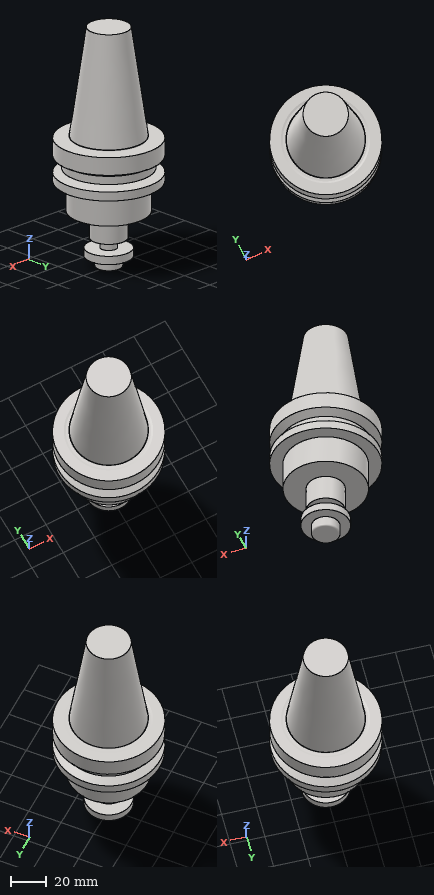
import cadquery as cq


gauge_diameter = 44.45
taper_length = 65.4
taper_ratio = 7 / 24
taper_small_diameter = gauge_diameter - taper_length * taper_ratio

neck_diameter = 43.85
neck_root_fillet = 0.5
neck_taper_length = 0.35

flange_diameter = 62.98
flange_top_z = -1.0
flange_bottom_z = -27.0
groove_diameter = 53.0
groove_center_z = -16.6
groove_mouth_width = 10.0
groove_floor_width = 4.9
groove_flank_height = (groove_mouth_width - groove_floor_width) / 2

recess_floor_diameter = 47.75
recess_rim_diameter = 50.0
recess_depth = 0.3

body_diameter = 48.0
body_length = 18.0
pilot_diameter = 22.0
pilot_length = 16.0
screw_shank_diameter = 10.0
screw_shank_length = 6.0
screw_collar_diameter = 28.0
screw_collar_length = 5.0
screw_tip_diameter = 16.0
screw_tip_length = 6.5
screw_tip_fillet = 1.0


def cylinder(diameter, top_z, length):
    """Cylinder on the Z axis that hangs down from top_z."""
    return cq.Workplane("XY").workplane(offset=top_z - length).circle(diameter / 2).extrude(length)


def revolve_profile(points):
    """Solid of revolution about Z from (diameter, z) points."""
    outline = [(diameter / 2, z) for diameter, z in points]
    return cq.Workplane("XZ").polyline(outline).close().revolve(360, (0, 0), (0, 1))


def make_shank():
    """Taper with its relief neck, filleted into the floor of the flange recess."""
    neck_radius = neck_diameter / 2
    neck_bottom_z = flange_top_z - recess_depth
    outline = (
        cq.Workplane("XZ")
        .moveTo(0, taper_length)
        .lineTo(taper_small_diameter / 2, taper_length)
        .lineTo(gauge_diameter / 2, 0)
        .lineTo(neck_radius, -neck_taper_length)
        .lineTo(neck_radius, neck_bottom_z + neck_root_fillet)
        .radiusArc((neck_radius + neck_root_fillet, neck_bottom_z), -neck_root_fillet)
        .lineTo(0, neck_bottom_z)
        .close()
    )
    return outline.revolve(360, (0, 0), (0, 1))


def make_flange():
    """Flange with the gripper groove and the recessed top face."""
    groove_top_z = groove_center_z + groove_mouth_width / 2
    groove_bottom_z = groove_center_z - groove_mouth_width / 2
    recess_floor_z = flange_top_z - recess_depth
    return revolve_profile([
        (0, recess_floor_z),
        (recess_floor_diameter, recess_floor_z),
        (recess_rim_diameter, flange_top_z),
        (flange_diameter, flange_top_z),
        (flange_diameter, groove_top_z),
        (groove_diameter, groove_top_z - groove_flank_height),
        (groove_diameter, groove_bottom_z + groove_flank_height),
        (flange_diameter, groove_bottom_z),
        (flange_diameter, flange_bottom_z),
        (0, flange_bottom_z),
    ])


def make_nose():
    """Body, pilot and clamping screw, stacked downward from the flange."""
    pilot_top_z = flange_bottom_z - body_length
    shank_top_z = pilot_top_z - pilot_length
    collar_top_z = shank_top_z - screw_shank_length
    tip_top_z = collar_top_z - screw_collar_length

    body = cylinder(body_diameter, flange_bottom_z, body_length)
    pilot = cylinder(pilot_diameter, pilot_top_z, pilot_length)
    screw_shank = cylinder(screw_shank_diameter, shank_top_z, screw_shank_length)
    screw_collar = cylinder(screw_collar_diameter, collar_top_z, screw_collar_length)
    screw_tip = cylinder(screw_tip_diameter, tip_top_z, screw_tip_length)
    screw_tip = screw_tip.faces("<Z").edges().fillet(screw_tip_fillet)
    return body.union(pilot).union(screw_shank).union(screw_collar).union(screw_tip)


result = make_flange().union(make_shank()).union(make_nose())